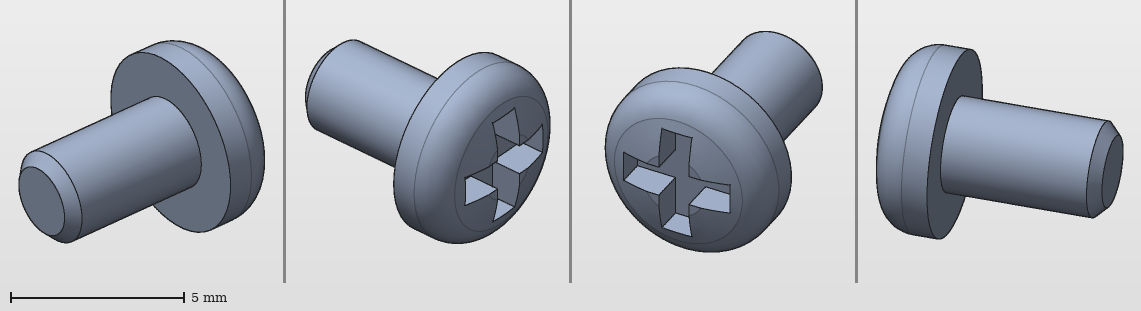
import cadquery as cq
import math

total_length = 6.76
shank_length = 4.76
shank_diameter = 2.845
tip_chamfer = 0.36

head_diameter = 5.565
rim_height = 0.77
corner_radius = 1.015
crown_radius = 6.42

slot_width = 0.99
slot_length = 3.49
slot_depth = 1.015

head_radius = head_diameter / 2
shank_radius = shank_diameter / 2
head_height = total_length - shank_length

corner_center_x = head_radius - corner_radius
center_distance = crown_radius - corner_radius
crown_center_y = rim_height - math.sqrt(center_distance**2 - corner_center_x**2)
flat_radius = math.sqrt(crown_radius**2 - (head_height - crown_center_y) ** 2)
blend_angle = math.acos(corner_center_x / center_distance)


def corner_point(angle):
    """Point on the corner arc; the angle is measured from the radial direction."""
    x = corner_center_x + corner_radius * math.cos(angle)
    y = rim_height + corner_radius * math.sin(angle)
    return (x, y)


def make_head():
    profile = (
        cq.Workplane("XY")
        .lineTo(head_radius, 0)
        .lineTo(head_radius, rim_height)
        .threePointArc(corner_point(blend_angle / 2), corner_point(blend_angle))
        .radiusArc((flat_radius, head_height), -crown_radius)
        .lineTo(0, head_height)
        .close()
    )
    return profile.revolve(360, (0, 0, 0), (0, 1, 0))


def make_shank():
    shank = cq.Workplane("XZ").circle(shank_radius).extrude(shank_length)
    return shank.faces("<Y").chamfer(tip_chamfer)


def make_recess():
    floor_y = head_height - slot_depth
    floor_plane = cq.Workplane("XZ", origin=(0, floor_y, 0))
    arm_x = floor_plane.rect(slot_length, slot_width).extrude(-slot_depth)
    arm_z = floor_plane.rect(slot_width, slot_length).extrude(-slot_depth)
    return arm_x.union(arm_z)


result = make_head().union(make_shank()).cut(make_recess())